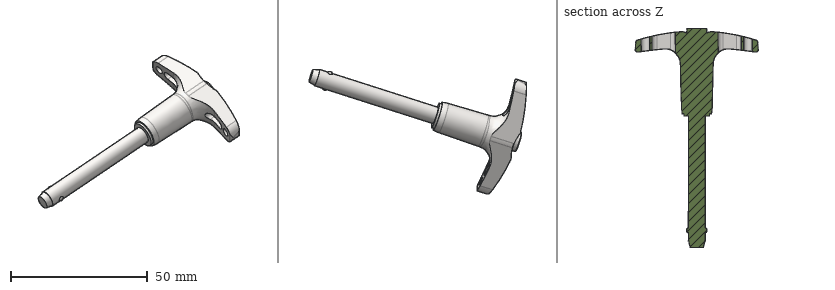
import cadquery as cq
import math


overall_length = 80.26

shank_radius = 6.35 / 2
shank_length = 48.1
nose_length = 2.3
nose_base_radius = 3.0
nose_tip_radius = 2.45
ball_radius = 1.1
ball_reach = 3.75
ball_to_end = 6.3

collar_radius = 4.75
collar_length = 0.9
shoulder_radius = 5.4
shoulder_bulge_radius = 5.62
hub_taper_start = 3.1
hub_taper_start_radius = 5.68
hub_taper_end = 18.5
hub_top_radius = 6.05
flare_radius = 5.6

handle_half_span = 45.18 / 2
boss_radius = 12.7 / 2
end_radius = 3.81
end_center = handle_half_span - end_radius

crown_height = 31.25
crown_arc_radius = 72.0
underside_height = 25.1
underside_arc_radius = 140.0
end_inset_top = 0.25
end_overrun_low = 0.1
end_corner_radius = 1.0
dish_floor = 30.1
dish_arc_radius = 15.0

core_top = dish_floor - 1.0

end_hole_diameter = 3.0
slot_inner_end = 7.9
slot_outer_end = 16.3
slot_width = 3.4

button_radius = 3.75
button_top = overall_length - shank_length
button_edge_chamfer = 0.25

selection_margin = 0.5


def along_y(y_low, y_high, sketch):
    """Extrude a sketch drawn in X and Z from y_low to y_high."""
    plane = cq.Workplane("XZ", origin=(0, y_low, 0))
    return sketch(plane).extrude(y_low - y_high)


def arc_height(apex, radius, x):
    """Height at x of a downward-curving arc whose apex is on the axis."""
    return apex - radius + math.sqrt(radius**2 - x**2)


def make_slab():
    """Side profile of the handle, extruded wider than the handle is thick."""
    top_end = handle_half_span - end_inset_top
    low_end = handle_half_span + end_overrun_low
    top_end_y = arc_height(crown_height, crown_arc_radius, top_end)
    low_end_y = arc_height(underside_height, underside_arc_radius, low_end)
    slab_half_width = 2 * boss_radius
    slab = (
        cq.Workplane("XY", origin=(0, 0, -slab_half_width))
        .moveTo(-low_end, low_end_y)
        .threePointArc((0, underside_height), (low_end, low_end_y))
        .lineTo(top_end, top_end_y)
        .threePointArc((0, crown_height), (-top_end, top_end_y))
        .close()
        .extrude(2 * slab_half_width)
    )
    return slab.edges("|Z").fillet(end_corner_radius)


def make_hub():
    """Turned hub that starts at the shoulder and ends inside the handle."""
    return (
        cq.Workplane("XY")
        .lineTo(collar_radius, 0)
        .lineTo(collar_radius, collar_length)
        .lineTo(shoulder_radius, collar_length)
        .threePointArc(
            (shoulder_bulge_radius, (collar_length + hub_taper_start) / 2),
            (hub_taper_start_radius, hub_taper_start),
        )
        .lineTo(hub_top_radius, hub_taper_end)
        .lineTo(hub_top_radius, core_top)
        .lineTo(0, core_top)
        .close()
        .revolve(360, (0, 0, 0), (0, 1, 0))
    )


def make_plan():
    """Plan of the handle: tangent lines joining the boss and the end rounds."""
    tilt = math.asin((boss_radius - end_radius) / end_center)
    boss_x = boss_radius * math.sin(tilt)
    boss_z = boss_radius * math.cos(tilt)
    end_x = end_center + end_radius * math.sin(tilt)
    end_z = end_radius * math.cos(tilt)

    def outline(plane):
        return (
            plane.moveTo(-boss_x, boss_z)
            .threePointArc((0, boss_radius), (boss_x, boss_z))
            .lineTo(end_x, end_z)
            .threePointArc((handle_half_span, 0), (end_x, -end_z))
            .lineTo(boss_x, -boss_z)
            .threePointArc((0, -boss_radius), (-boss_x, -boss_z))
            .lineTo(-end_x, -end_z)
            .threePointArc((-handle_half_span, 0), (-end_x, end_z))
            .close()
        )

    return along_y(0, button_top, outline)


def make_dish():
    """Cylinder along Z that scoops the crown where the button sits."""
    return (
        cq.Workplane("XY")
        .center(0, dish_floor + dish_arc_radius)
        .circle(dish_arc_radius)
        .extrude(2 * boss_radius, both=True)
    )


def make_openings():
    """Finger slot and end hole on both sides of the handle."""
    slot_length = slot_outer_end - slot_inner_end
    slot_middle = (slot_outer_end + slot_inner_end) / 2
    hole_places = [(-end_center, 0), (end_center, 0)]
    slot_places = [(-slot_middle, 0), (slot_middle, 0)]
    holes = along_y(0, button_top, lambda p: p.pushPoints(hole_places).circle(end_hole_diameter / 2))
    slots = along_y(0, button_top, lambda p: p.pushPoints(slot_places).slot2D(slot_length, slot_width))
    return holes.union(slots)


def make_shank():
    """Shank with its tapered nose and the two locking balls."""
    nose_start = nose_length - shank_length
    shank = (
        cq.Workplane("XY")
        .moveTo(0, collar_length)
        .lineTo(shank_radius, collar_length)
        .lineTo(shank_radius, nose_start)
        .lineTo(nose_base_radius, nose_start)
        .lineTo(nose_tip_radius, -shank_length)
        .lineTo(0, -shank_length)
        .close()
        .revolve(360, (0, 0, 0), (0, 1, 0))
    )
    for side in (-1, 1):
        ball_x = side * (ball_reach - ball_radius)
        ball = cq.Workplane("XY").sphere(ball_radius)
        shank = shank.union(ball.translate((ball_x, ball_to_end - shank_length, 0)))
    return shank


def make_button():
    """Release button standing in the dish."""
    button = along_y(core_top, button_top, lambda p: p.circle(button_radius))
    return button.faces(">Y").edges().chamfer(button_edge_chamfer)


def make_handle():
    """Slab and hub joined by the flare, then trimmed to the plan."""
    slab = make_slab()
    body = slab.union(make_hub())
    reach = hub_top_radius + selection_margin
    near_flare = cq.selectors.BoxSelector(
        (-reach, underside_height - selection_margin, -reach),
        (reach, underside_height + selection_margin, reach),
    )
    body = body.edges(near_flare).fillet(flare_radius)
    return body.intersect(make_plan()).cut(make_dish()).cut(make_openings())


result = make_handle().union(make_shank()).union(make_button())